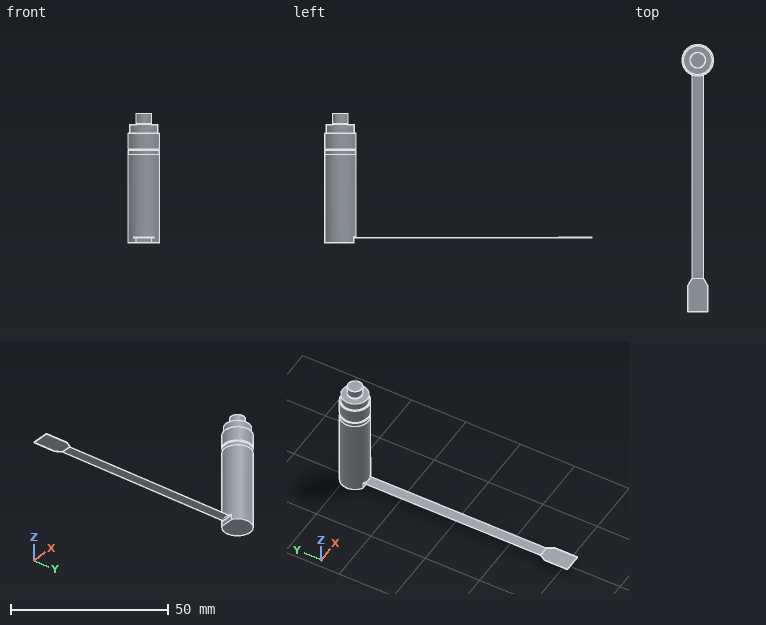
import cadquery as cq

barrel_diameter = 10.0
barrel_top = 28.05

band_diameter = 9.95
band_top = 29.4
groove_diameter = 9.1
groove_width = 0.3

sleeve_diameter = barrel_diameter
sleeve_top = 34.9
rim_chamfer = 0.1

collar_diameter = 9.0
collar_top = 37.6
neck_diameter = 4.5
neck_height = 0.4
pin_diameter = 5.0
overall_height = 41.1

notch_height = 1.95
notch_depth = 0.7

overall_length = 85.0
cable_width = 3.7
cable_thickness = 0.1
cable_bottom = 1.6
pad_width = 6.5
pad_length = 10.6
pad_taper_length = 2.3
pad_thickness = 0.25
pad_corner_chamfer = 0.2

barrel_radius = barrel_diameter / 2
pad_end_y = barrel_radius - overall_length
pad_start_y = pad_end_y + pad_length


def cylinder(diameter, bottom, top):
    """Upright cylinder on the Z axis between two heights."""
    return cq.Workplane("XY", origin=(0, 0, bottom)).circle(diameter / 2).extrude(top - bottom)


def make_turned_body():
    """Barrel, band, groove, sleeve, collar, neck and pin, stacked from the bottom up."""
    groove_top = band_top + groove_width
    neck_top = collar_top + neck_height
    sleeve = cylinder(sleeve_diameter, groove_top, sleeve_top).edges().chamfer(rim_chamfer)
    pin = cylinder(pin_diameter, neck_top, overall_height).faces(">Z").chamfer(rim_chamfer)
    return (
        cylinder(barrel_diameter, 0, barrel_top)
        .union(cylinder(band_diameter, barrel_top, band_top))
        .union(cylinder(groove_diameter, band_top, groove_top))
        .union(sleeve)
        .union(cylinder(collar_diameter, sleeve_top, collar_top))
        .union(cylinder(neck_diameter, collar_top, neck_top))
        .union(pin)
    )


def make_notch():
    """Block that cuts a flat across the -Y side of the barrel foot."""
    return (
        cq.Workplane("XY")
        .box(barrel_diameter, notch_depth, notch_height, centered=(True, False, False))
        .translate((0, -barrel_radius, 0))
    )


def make_cable():
    """Thin strip running from the barrel axis to the pad."""
    return (
        cq.Workplane("XY")
        .box(cable_width, -pad_start_y, cable_thickness, centered=(True, False, False))
        .translate((0, pad_start_y, cable_bottom))
    )


def make_pad():
    """Thicker pad that widens from the cable width and has clipped end corners."""
    shoulder_y = pad_start_y - pad_taper_length
    outline = [
        (-cable_width / 2, pad_start_y),
        (-pad_width / 2, shoulder_y),
        (-pad_width / 2, pad_end_y),
        (pad_width / 2, pad_end_y),
        (pad_width / 2, shoulder_y),
        (cable_width / 2, pad_start_y),
    ]
    pad = cq.Workplane("XY", origin=(0, 0, cable_bottom)).polyline(outline).close().extrude(pad_thickness)
    return pad.faces("<Y").edges("|Z").chamfer(pad_corner_chamfer)


result = make_turned_body().cut(make_notch()).union(make_cable()).union(make_pad())